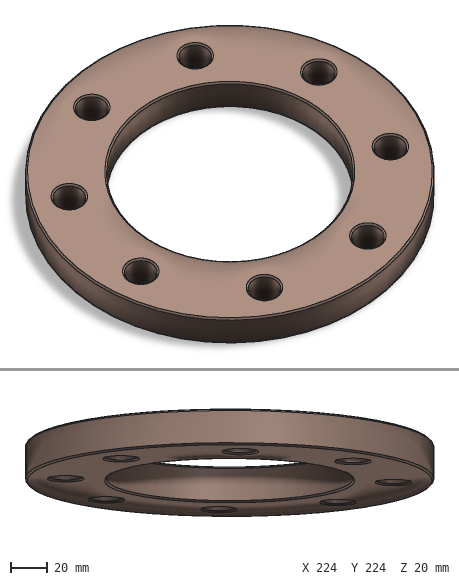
import cadquery as cq

outer_diameter = 224.0
thickness = 20.0
bore_diameter = 135.0

hole_count = 8
hole_diameter = 18.0
bolt_circle_diameter = 180.0

edge_chamfer = 1.0


def make_ring():
    """Flat ring, centred on the Z axis and standing on Z = 0."""
    return (
        cq.Workplane("XY")
        .circle(outer_diameter / 2)
        .circle(bore_diameter / 2)
        .extrude(thickness)
    )


def make_bolt_holes():
    """Evenly spaced through holes, the first one on the +X axis."""
    return (
        cq.Workplane("XY")
        .polarArray(bolt_circle_diameter / 2, 0, 360, hole_count)
        .circle(hole_diameter / 2)
        .extrude(thickness)
    )


ring = make_ring().cut(make_bolt_holes())
result = ring.faces("|Z").edges().chamfer(edge_chamfer)